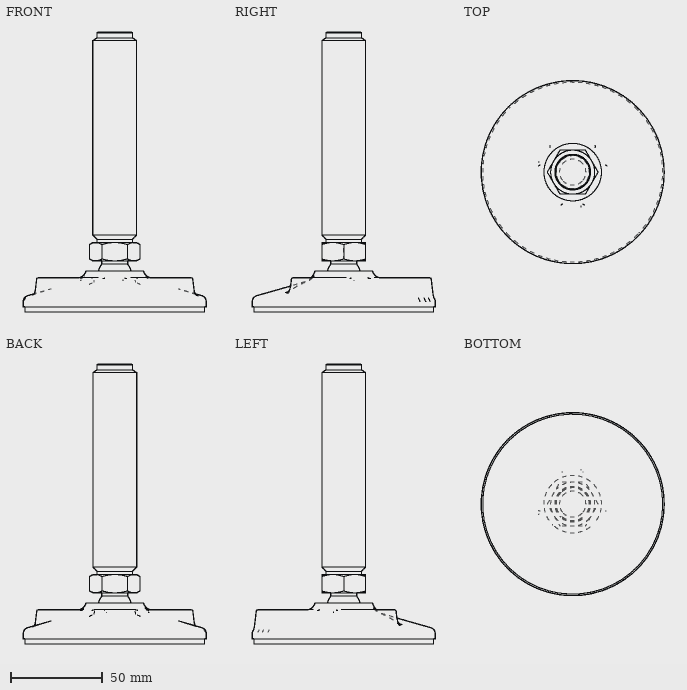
import cadquery as cq
import math

PAD_DIAMETER = 98.2
PAD_HEIGHT = 2.9
COVER_DIAMETER = 100.0
RIM_TOP_Z = 5.75
RIM_FILLET = 3.5
CONE_ANGLE = 16.0

BOSS_TOP_Z = 22.5
BOSS_TOP_DIAMETER = 31.4
BOSS_DRAFT = 24.0
BOSS_BLEND = 6.7

ARM_COUNT = 3
FIRST_ARM_ANGLE = 90.0
ARM_TOP_Z = 18.8
ARM_TIP_CENTRE = 38.3
ARM_TIP_RADIUS = 9.4
ARM_FLANK_ANGLE = 7.0
ARM_DRAFT = 7.0
ARM_EDGE_FILLET = 1.0
ARM_ROOT_FILLET = 4.5

BALL_DIAMETER = 18.5
BALL_CENTRE_Z = 20.3
NECK_DIAMETER = 14.3
HEX_ACROSS_FLATS = 24.0
HEX_BOTTOM_Z = 28.0
HEX_HEIGHT = 10.0
HEX_CHAMFER_ANGLE = 30.0
SPINDLE_DIAMETER = 24.0
RELIEF_DIAMETER = 19.5
RELIEF_LENGTH = 1.8
TIP_DIAMETER = 19.5
TIP_LENGTH = 3.2
TIP_CHAMFER = 0.5
TIP_SHOULDER_HEIGHT = 1.45
TOTAL_HEIGHT = 152.88


def revolve_profile(profile):
    """Revolve a profile drawn as (radius, height) about the Z axis."""
    return profile.close().revolve(360, (0, 0, 0), (0, 1, 0))


def make_cover():
    """Pad, rounded rim, conical cover and boss as one turned body."""
    pad_radius = PAD_DIAMETER / 2
    rim_radius = COVER_DIAMETER / 2
    boss_top_radius = BOSS_TOP_DIAMETER / 2
    cone_slope = math.tan(math.radians(CONE_ANGLE))
    boss_slope = math.tan(math.radians(BOSS_DRAFT))
    rim_arc_angle = math.radians(90 - CONE_ANGLE)

    def rim_point(angle):
        radius = rim_radius - RIM_FILLET + RIM_FILLET * math.cos(angle)
        return (radius, RIM_TOP_Z + RIM_FILLET * math.sin(angle))

    cone_radius, cone_z = rim_point(rim_arc_angle)
    height_over_cone = BOSS_TOP_Z - cone_z - (cone_radius - boss_top_radius) * cone_slope
    boss_foot_z = BOSS_TOP_Z - height_over_cone / (1 - cone_slope * boss_slope)
    boss_foot_radius = boss_top_radius + (BOSS_TOP_Z - boss_foot_z) * boss_slope

    profile = (
        cq.Workplane("XZ")
        .lineTo(pad_radius, 0)
        .lineTo(pad_radius, PAD_HEIGHT)
        .lineTo(rim_radius, PAD_HEIGHT)
        .lineTo(rim_radius, RIM_TOP_Z)
        .threePointArc(rim_point(rim_arc_angle / 2), (cone_radius, cone_z))
        .lineTo(boss_foot_radius, boss_foot_z)
        .lineTo(boss_top_radius, BOSS_TOP_Z)
        .lineTo(0, BOSS_TOP_Z)
    )
    foot_edge = cq.selectors.NearestToPointSelector((0, 0, boss_foot_z))
    return revolve_profile(profile).edges("%CIRCLE").edges(foot_edge).fillet(BOSS_BLEND)


def make_arm(angle):
    """Drafted arm: an outline with a round tip, widening toward the axis and downward."""
    flank = math.radians(ARM_FLANK_ANGLE)
    tangent_x = ARM_TIP_CENTRE + ARM_TIP_RADIUS * math.sin(flank)
    tangent_y = ARM_TIP_RADIUS * math.cos(flank)
    inner_y = tangent_y + tangent_x * math.tan(flank)
    arm = (
        cq.Workplane("XY", origin=(0, 0, ARM_TOP_Z))
        .moveTo(0, -inner_y)
        .lineTo(tangent_x, -tangent_y)
        .threePointArc((ARM_TIP_CENTRE + ARM_TIP_RADIUS, 0), (tangent_x, tangent_y))
        .lineTo(0, inner_y)
        .close()
        .extrude(RIM_TOP_Z - ARM_TOP_Z, taper=-ARM_DRAFT)
    )
    return arm.rotate((0, 0, 0), (0, 0, 1), angle)


def is_arm_top_edge(edge):
    """Edges around the flat arm tops, except where the tops run into the boss."""
    box = edge.BoundingBox()
    level = abs(box.zmin - ARM_TOP_Z) < 0.01 and abs(box.zmax - ARM_TOP_Z) < 0.01
    reach = max(math.hypot(p.x, p.y) for p in (edge.startPoint(), edge.endPoint()))
    return level and reach > ARM_TIP_CENTRE


def is_arm_root_edge(edge):
    """Curved edges where the arm walls meet the cone, the rim and the boss blend."""
    below_top_fillet = edge.BoundingBox().zmin < ARM_TOP_Z - ARM_EDGE_FILLET - 0.2
    return edge.geomType() in ("HYPERBOLA", "BSPLINE") and below_top_fillet


def make_foot():
    """Cover with its arms, rounded along their tops and blended at their roots."""
    foot = make_cover()
    for index in range(ARM_COUNT):
        foot = foot.union(make_arm(FIRST_ARM_ANGLE + index * 360 / ARM_COUNT))
    foot = foot.edges().filter(is_arm_top_edge).fillet(ARM_EDGE_FILLET)
    return foot.edges().filter(is_arm_root_edge).fillet(ARM_ROOT_FILLET)


def make_ball_neck():
    """Visible part of the ball and the cylindrical neck up to the hexagon."""
    ball = cq.Workplane("XY", origin=(0, 0, BALL_CENTRE_Z)).sphere(BALL_DIAMETER / 2)
    neck = (
        cq.Workplane("XY", origin=(0, 0, BALL_CENTRE_Z))
        .circle(NECK_DIAMETER / 2)
        .extrude(HEX_BOTTOM_Z - BALL_CENTRE_Z)
    )
    return ball.union(neck)


def make_hexagon():
    """Hexagon with its corners chamfered by a cone at both ends."""
    flat_radius = HEX_ACROSS_FLATS / 2
    corner_radius = flat_radius / math.cos(math.pi / 6)
    chamfer_drop = (corner_radius - flat_radius) * math.tan(math.radians(HEX_CHAMFER_ANGLE))
    top_z = HEX_BOTTOM_Z + HEX_HEIGHT
    prism = (
        cq.Workplane("XY", origin=(0, 0, HEX_BOTTOM_Z))
        .polygon(6, 2 * corner_radius)
        .extrude(HEX_HEIGHT)
    )
    envelope = revolve_profile(
        cq.Workplane("XZ")
        .moveTo(0, HEX_BOTTOM_Z)
        .lineTo(flat_radius, HEX_BOTTOM_Z)
        .lineTo(corner_radius, HEX_BOTTOM_Z + chamfer_drop)
        .lineTo(corner_radius, top_z - chamfer_drop)
        .lineTo(flat_radius, top_z)
        .lineTo(0, top_z)
    )
    return prism.intersect(envelope)


def make_spindle():
    """Undercut, full-diameter shaft and stepped tip above the hexagon."""
    radius = SPINDLE_DIAMETER / 2
    relief_radius = RELIEF_DIAMETER / 2
    tip_radius = TIP_DIAMETER / 2
    relief_bottom_z = HEX_BOTTOM_Z + HEX_HEIGHT
    relief_top_z = relief_bottom_z + RELIEF_LENGTH
    tip_bottom_z = TOTAL_HEIGHT - TIP_LENGTH
    return revolve_profile(
        cq.Workplane("XZ")
        .moveTo(0, relief_bottom_z)
        .lineTo(relief_radius, relief_bottom_z)
        .lineTo(relief_radius, relief_top_z)
        .lineTo(radius, relief_top_z + radius - relief_radius)
        .lineTo(radius, tip_bottom_z - TIP_SHOULDER_HEIGHT)
        .lineTo(tip_radius, tip_bottom_z)
        .lineTo(tip_radius, TOTAL_HEIGHT - TIP_CHAMFER)
        .lineTo(tip_radius - TIP_CHAMFER, TOTAL_HEIGHT)
        .lineTo(0, TOTAL_HEIGHT)
    )


result = make_foot().union(make_ball_neck()).union(make_hexagon()).union(make_spindle())